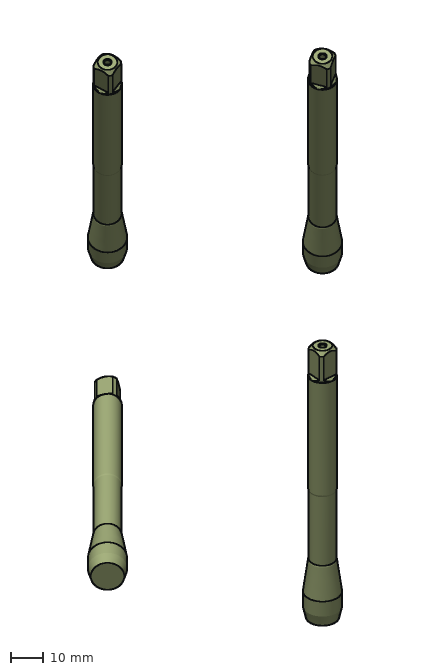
import cadquery as cq
import math

length = 100.0
shank_diameter = 9.0
neck_diameter = 8.7
step_height = 0.6
shank_bottom = 47.5
shank_top = 89.2
shank_top_step = 0.2

square_size = 7.0
square_corner_diameter = 8.7
square_bottom = 90.0
ledge_angle = 45.0
tip_diameter = 6.0
tip_chamfer = (square_corner_diameter - tip_diameter) / 2

hole_diameter = 2.0
hole_mouth_diameter = 2.6
hole_depth = 2.5
countersink_depth = (hole_mouth_diameter - hole_diameter) / 2
drill_point_angle = 118.0

head_diameter = 12.2
head_nose_diameter = 10.4
runout_top_diameter = 9.1
nose_height = 4.0
head_top = 9.5
runout_top = 21.0


def turned(profile):
    """Revolve a list of (radius, z) corners around the Z axis."""
    return cq.Workplane("XZ").polyline(profile).close().revolve(360, (0, 0), (0, 1))


def make_shaft_blank():
    """Round shaft: run-out cone, neck, thicker shank and drive end."""
    return turned([
        (0, head_top),
        (head_diameter / 2, head_top),
        (runout_top_diameter / 2, runout_top),
        (neck_diameter / 2, runout_top + step_height),
        (neck_diameter / 2, shank_bottom - step_height),
        (shank_diameter / 2, shank_bottom),
        (shank_diameter / 2, shank_top - shank_top_step),
        (square_corner_diameter / 2, shank_top),
        (square_corner_diameter / 2, length - tip_chamfer),
        (tip_diameter / 2, length),
        (0, length),
    ])


def make_flat_cutter():
    """Material outside one flat of the square, with a sloping ledge at its lower end."""
    inner = square_size / 2
    outer = shank_diameter
    ledge_drop = (outer - inner) / math.tan(math.radians(ledge_angle))
    return (
        cq.Workplane("XZ")
        .polyline([
            (inner, square_bottom),
            (outer, square_bottom - ledge_drop),
            (outer, length),
            (inner, length),
        ])
        .close()
        .extrude(shank_diameter / 2, both=True)
    )


def make_centre_hole():
    """Countersunk blind hole with a drill point."""
    radius = hole_diameter / 2
    point_depth = radius / math.tan(math.radians(drill_point_angle / 2))
    return turned([
        (0, length),
        (hole_mouth_diameter / 2, length),
        (radius, length - countersink_depth),
        (radius, length - hole_depth),
        (0, length - hole_depth - point_depth),
    ])


def make_shaft():
    shaft = make_shaft_blank()
    flat_cutter = make_flat_cutter()
    for angle in (0, 90, 180, 270):
        shaft = shaft.cut(flat_cutter.rotate((0, 0, 0), (0, 0, 1), angle))
    return shaft.cut(make_centre_hole())


def make_head():
    """Cylindrical cutting head with a tapered nose."""
    return turned([
        (0, 0),
        (head_nose_diameter / 2, 0),
        (head_diameter / 2, nose_height),
        (head_diameter / 2, head_top),
        (0, head_top),
    ])


shaft = make_shaft()
head = make_head()

result = cq.Compound.makeCompound([shaft.val(), head.val()])